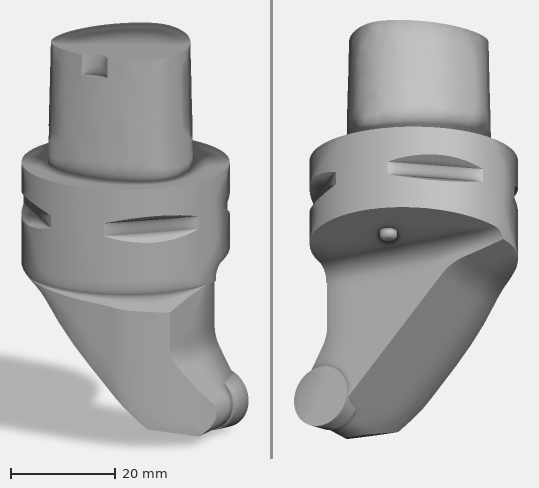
import cadquery as cq
import math

FLANGE_DIAMETER = 40.0
FLANGE_RADIUS = FLANGE_DIAMETER / 2
FLANGE_HEIGHT = 21.0

SHANK_HEIGHT = 24.0
SHANK_BASE_RADIUS = 14.0
SHANK_TIP_RADIUS = 13.4
SHANK_LOBE = 0.95
SHANK_POINTS = 48

NOTCH_RADIUS = 3.4
NOTCH_CENTER_Y = -14.2
NOTCH_DEPTH = 4.1

GROOVE_COUNT = 4
GROOVE_START_ANGLE = 45.0
GROOVE_CENTER_Z = -8.15
GROOVE_FLOOR_WIDTH = 2.5
GROOVE_MOUTH_WIDTH = 5.25
GROOVE_DEPTH = 2.4

TOTAL_DROP = 50.0
INSERT_RADIUS = 6.0
INSERT_THICKNESS = 4.7
INSERT_RELIEF = 7.0
OVERALL_WIDTH = 47.0
INSERT_REACH = OVERALL_WIDTH - FLANGE_RADIUS
INSERT_X = INSERT_REACH - INSERT_RADIUS
INSERT_Z = INSERT_RADIUS - TOTAL_DROP

ARM_FACE_Y = -0.45
ARM_BACK_Y = -22.5
ARM_NOSE_RADIUS = 4.95
ARM_SIDE_X = 19.75
ARM_FRONT_ANGLE = 60.0
ARM_LOWER_ANGLE = 45.0
ARM_SIDE_FILLET = 8.15
FLANGE_SLOPE = 12.0
FLANGE_EDGE_Z = -19.45
ARM_LOWER_FILLET = 10.0

BACK_START = (-12.8, -15.4)
BACK_CURVE_MIDDLE = (-4.5, -20.8)
BACK_FLAT_LEFT_X = 4.2
BACK_FLAT_RIGHT_X = 10.3
CORNER_MIDDLE = (12.35, -22.2)
CORNER_END = (14.3, -21.45)
TIP_CURVE_MIDDLE = (20.9, -17.2)
TIP_END = (26.05, -10.6)

SHOULDER_ANGLE = 16.0
HEEL_Y = -20.85
HEEL_Z = -46.1
HEEL_ANGLE = 16.8

CHIP_EDGE_Z = -16.1
CHIP_SLOPE = 5.0
CHIP_FILLET = 2.95

NOZZLE_DIAMETER = 3.3
NOZZLE_X = 0.0
NOZZLE_Y = 9.25
NOZZLE_END_Z = -18.7
NOZZLE_EDGE_RADIUS = 0.9

MARGIN = 7.4


def slope(angle):
    return math.tan(math.radians(angle))


def polygon_points(radius):
    """Points on a rounded triangle of constant width, with one lobe toward +Y."""
    points = []
    for index in range(SHANK_POINTS):
        angle = 2 * math.pi * index / SHANK_POINTS
        lobe_angle = 3 * (angle - math.pi / 2)
        reach = radius + SHANK_LOBE * math.cos(lobe_angle)
        shift = -3 * SHANK_LOBE * math.sin(lobe_angle)
        x = reach * math.cos(angle) - shift * math.sin(angle)
        y = reach * math.sin(angle) + shift * math.cos(angle)
        points.append((x, y))
    return points


def make_shank():
    shank = (
        cq.Workplane("XY")
        .spline(polygon_points(SHANK_BASE_RADIUS), periodic=True).close()
        .workplane(offset=SHANK_HEIGHT)
        .spline(polygon_points(SHANK_TIP_RADIUS), periodic=True).close()
        .loft(ruled=True)
    )
    notch = (
        cq.Workplane("XY", origin=(0, NOTCH_CENTER_Y, SHANK_HEIGHT - NOTCH_DEPTH))
        .circle(NOTCH_RADIUS)
        .extrude(NOTCH_DEPTH + MARGIN)
    )
    return shank.cut(notch)


def make_groove(angle):
    """Trapezoidal straight groove, cut across the rim at the given angle."""
    floor_x = FLANGE_RADIUS - GROOVE_DEPTH
    floor = GROOVE_FLOOR_WIDTH / 2
    mouth = GROOVE_MOUTH_WIDTH / 2
    return (
        cq.Workplane("XZ", origin=(0, 0, GROOVE_CENTER_Z))
        .polyline([(floor_x, -floor), (FLANGE_RADIUS, -mouth), (FLANGE_RADIUS, mouth), (floor_x, floor)])
        .close()
        .extrude(FLANGE_RADIUS, both=True)
        .rotate((0, 0, 0), (0, 0, 1), angle)
    )


def make_flange_back():
    """Part of the flange disc that lies behind the arm face."""
    depth = ARM_FACE_Y + FLANGE_RADIUS
    disc = cq.Workplane("XY").circle(FLANGE_RADIUS).extrude(-FLANGE_HEIGHT)
    back = (
        cq.Workplane("XZ", origin=(0, ARM_FACE_Y, 0))
        .rect(FLANGE_DIAMETER, 2 * FLANGE_HEIGHT)
        .extrude(depth)
    )
    return disc.intersect(back)


def make_arm_blank():
    """Plan outline of the arm below the flange, with a conical shoulder on top."""
    blank = (
        cq.Workplane("XY", origin=(0, 0, -TOTAL_DROP))
        .moveTo(BACK_START[0], ARM_FACE_Y)
        .lineTo(*BACK_START)
        .threePointArc(BACK_CURVE_MIDDLE, (BACK_FLAT_LEFT_X, ARM_BACK_Y))
        .lineTo(BACK_FLAT_RIGHT_X, ARM_BACK_Y)
        .threePointArc(CORNER_MIDDLE, CORNER_END)
        .threePointArc(TIP_CURVE_MIDDLE, TIP_END)
        .lineTo(TIP_END[0], ARM_FACE_Y)
        .close()
        .extrude(TOTAL_DROP - FLANGE_HEIGHT)
    )
    outer_radius = FLANGE_RADIUS + 2 * MARGIN
    outer_z = -FLANGE_HEIGHT - 2 * MARGIN * slope(SHOULDER_ANGLE)
    shoulder = (
        cq.Workplane("XZ")
        .polyline([(FLANGE_RADIUS, -FLANGE_HEIGHT), (outer_radius, -FLANGE_HEIGHT), (outer_radius, outer_z)])
        .close()
        .revolve(360, (0, 0, 0), (0, 1, 0))
    )
    return blank.cut(shoulder)


def make_side_profile():
    """Arm and flange silhouette seen along Y, extruded over the full depth of the part."""
    lower = math.radians(ARM_LOWER_ANGLE)
    front = math.radians(ARM_FRONT_ANGLE)
    lower_x = INSERT_X - ARM_NOSE_RADIUS * math.sin(lower)
    lower_z = INSERT_Z - ARM_NOSE_RADIUS * math.cos(lower)
    front_x = INSERT_X + ARM_NOSE_RADIUS * math.sin(front)
    front_z = INSERT_Z + ARM_NOSE_RADIUS * math.cos(front)
    nose_direction = (math.pi - front - lower) / 2
    nose_middle = (
        INSERT_X + ARM_NOSE_RADIUS * math.sin(nose_direction),
        INSERT_Z - ARM_NOSE_RADIUS * math.cos(nose_direction),
    )
    gap_z = FLANGE_EDGE_Z - lower_z
    run = lower_x + FLANGE_RADIUS
    corner_run = (run * slope(ARM_LOWER_ANGLE) - gap_z) / (slope(ARM_LOWER_ANGLE) - slope(FLANGE_SLOPE))
    corner_x = corner_run - FLANGE_RADIUS
    corner_z = FLANGE_EDGE_Z - corner_run * slope(FLANGE_SLOPE)
    side_corner_z = front_z + (front_x - ARM_SIDE_X) * slope(ARM_FRONT_ANGLE)

    profile = (
        cq.Workplane("XZ", origin=(0, FLANGE_RADIUS, 0))
        .moveTo(-FLANGE_RADIUS, 0)
        .lineTo(-FLANGE_RADIUS, FLANGE_EDGE_Z)
        .lineTo(corner_x, corner_z)
        .lineTo(lower_x, lower_z)
        .threePointArc(nose_middle, (front_x, front_z))
        .lineTo(ARM_SIDE_X, side_corner_z)
        .lineTo(ARM_SIDE_X, -FLANGE_HEIGHT)
        .lineTo(FLANGE_RADIUS, -FLANGE_HEIGHT)
        .lineTo(FLANGE_RADIUS, 0)
        .close()
        .extrude(FLANGE_RADIUS - ARM_BACK_Y)
    )
    middle_y = (FLANGE_RADIUS + ARM_BACK_Y) / 2
    profile = profile.edges(cq.NearestToPointSelector((corner_x, middle_y, corner_z))).fillet(ARM_LOWER_FILLET)
    return profile.edges(cq.NearestToPointSelector((ARM_SIDE_X, middle_y, side_corner_z))).fillet(ARM_SIDE_FILLET)


def make_heel_cut():
    """Wedge that removes the lower back edge of the arm nose."""
    back_y = HEEL_Y - MARGIN
    back_z = HEEL_Z + MARGIN * slope(HEEL_ANGLE)
    front_y = HEEL_Y + (HEEL_Z + TOTAL_DROP) / slope(HEEL_ANGLE)
    return (
        cq.Workplane("YZ")
        .polyline([(back_y, back_z), (back_y, -TOTAL_DROP), (front_y, -TOTAL_DROP)])
        .close()
        .extrude(INSERT_REACH + MARGIN)
    )


def make_chip_side():
    """Flange half in front of the arm face, with its sloped underside and blend into the arm."""
    root_z = CHIP_EDGE_Z - (FLANGE_RADIUS - ARM_FACE_Y) * slope(CHIP_SLOPE)
    blend_tangent = CHIP_FILLET * slope((90 - CHIP_SLOPE) / 2)
    blend_y = ARM_FACE_Y + blend_tangent * math.cos(math.radians(CHIP_SLOPE))
    blend_z = root_z + blend_tangent * math.sin(math.radians(CHIP_SLOPE))
    blend_end_z = root_z - blend_tangent
    middle_angle = math.radians(180 - (90 - CHIP_SLOPE) / 2)
    blend_middle = (
        ARM_FACE_Y + CHIP_FILLET + CHIP_FILLET * math.cos(middle_angle),
        blend_end_z + CHIP_FILLET * math.sin(middle_angle),
    )
    side = (
        cq.Workplane("YZ")
        .moveTo(ARM_FACE_Y, 0)
        .lineTo(ARM_FACE_Y, blend_end_z)
        .threePointArc(blend_middle, (blend_y, blend_z))
        .lineTo(FLANGE_RADIUS, CHIP_EDGE_Z)
        .lineTo(FLANGE_RADIUS, 0)
        .close()
        .extrude(FLANGE_RADIUS, both=True)
    )
    rim = cq.Workplane("XY").circle(FLANGE_RADIUS).extrude(-TOTAL_DROP)
    return side.intersect(rim)


def make_nozzle():
    return (
        cq.Workplane("XY", origin=(NOZZLE_X, NOZZLE_Y, NOZZLE_END_Z))
        .circle(NOZZLE_DIAMETER / 2)
        .extrude(GROOVE_CENTER_Z - NOZZLE_END_Z)
        .faces("<Z").edges().fillet(NOZZLE_EDGE_RADIUS)
    )


def make_insert():
    back_radius = INSERT_RADIUS - INSERT_THICKNESS * slope(INSERT_RELIEF)
    return (
        cq.Workplane("XZ", origin=(INSERT_X, 0, INSERT_Z))
        .circle(INSERT_RADIUS)
        .workplane(offset=INSERT_THICKNESS)
        .circle(back_radius)
        .loft()
    )


def make_holder(insert):
    arm_side = make_flange_back().union(make_arm_blank()).cut(make_heel_cut())
    holder = arm_side.union(make_chip_side()).intersect(make_side_profile())
    for index in range(GROOVE_COUNT):
        holder = holder.cut(make_groove(GROOVE_START_ANGLE + index * 360 / GROOVE_COUNT))
    holder = holder.union(make_shank()).union(make_nozzle())
    return holder.cut(insert)


insert = make_insert()
holder = make_holder(insert)

result = cq.Compound.makeCompound([holder.solids().val(), insert.val()])